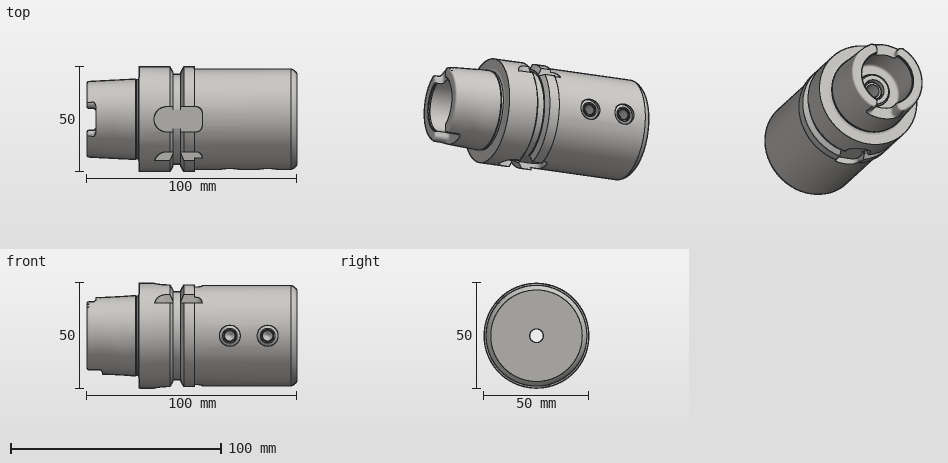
import cadquery as cq
import math

total_length = 100
relief_start = 23
flange_face = 24.8
groove_start = 39.5
groove_floor_start = 41
groove_floor_end = 44.6
groove_end = 46.1
flange_end = 51.1
nose_start = 97
nose_break = 99.4

taper_tip_radius = 18
taper_base_radius = 19.2
relief_radius = 37.9 / 2
relief_step = 0.5
relief_cone_length = 0.4
relief_cone_radius = 20.2
flange_radius = 50 / 2
groove_radius = 43 / 2
groove_flank_angle = 30
body_radius = 48 / 2
nose_mid_point = (98.4, 23.4)
nose_break_radius = 22.5
nose_end_radius = 21.8

bore_mouth_radius = 26.6 / 2
bore_mouth_length = 0.6
bore_mouth_bevel = 0.5
bore_radius = 26 / 2
bore_straight_end = 10
bore_floor_radius = 13.1
bore_depth = 18.5
bore_corner_radius = 1.2

insert_radius = 16 / 2
insert_height = 1.5
insert_chamfer = 0.7
rim_hole_radius = 10 / 2
rim_hole_depth = 3
tip_radius = 8.4 / 2
tip_length = 1.2
coolant_radius = 6.4 / 2

upper_slot_depth = 4.3
lower_slot_depth = 7.3
slot_half_width = 5.2
slot_straight_height = 14
slot_flare_radius = 2.2
slot_corner_radius = 1.5
shank_edge_radius = 1

keyway_start = 31.9
keyway_end = 54.9
keyway_width = 12
keyway_floor = 21
keyway_end_corner = 3
notch_floor = 15.5

screw_positions = (68, 86)
screw_hole_radius = 10 / 2
screw_face_radius = 7 / 2
screw_face_depth = 1
screw_bevel_angle = 30
socket_mouth_radius = 5.8 / 2
socket_radius = 5 / 2
socket_depth = 8
socket_tip_angle = 118


def revolve_about_x(profile):
    return profile.close().revolve(360, (0, 0, 0), (1, 0, 0))


def outer_body():
    flank_drop = (groove_floor_start - groove_start) / math.tan(math.radians(groove_flank_angle))
    flank_foot = flange_radius - flank_drop
    profile = (
        cq.Workplane("XY")
        .lineTo(0, taper_tip_radius)
        .lineTo(relief_start, taper_base_radius)
        .lineTo(relief_start + relief_step, relief_radius)
        .lineTo(flange_face - relief_cone_length, relief_radius)
        .lineTo(flange_face, relief_cone_radius)
        .lineTo(flange_face, flange_radius)
        .lineTo(groove_start, flange_radius)
        .lineTo(groove_floor_start, flank_foot)
        .lineTo(groove_floor_start, groove_radius)
        .lineTo(groove_floor_end, groove_radius)
        .lineTo(groove_floor_end, flank_foot)
        .lineTo(groove_end, flange_radius)
        .lineTo(flange_end, flange_radius)
        .lineTo(flange_end, body_radius)
        .lineTo(nose_start, body_radius)
        .threePointArc(nose_mid_point, (nose_break, nose_break_radius))
        .lineTo(total_length, nose_end_radius)
        .lineTo(total_length, 0)
    )
    return revolve_about_x(profile)


def clamping_bore():
    insert_face = bore_depth - insert_height
    rim_hole_floor = insert_face + rim_hole_depth
    profile = (
        cq.Workplane("XY")
        .lineTo(0, bore_mouth_radius)
        .lineTo(bore_mouth_length, bore_mouth_radius)
        .lineTo(bore_mouth_length + bore_mouth_bevel, bore_radius)
        .lineTo(bore_straight_end, bore_radius)
        .lineTo(bore_depth - bore_corner_radius, bore_floor_radius)
        .radiusArc((bore_depth, bore_floor_radius - bore_corner_radius), bore_corner_radius)
        .lineTo(bore_depth, insert_radius)
        .lineTo(insert_face + insert_chamfer, insert_radius)
        .lineTo(insert_face, insert_radius - insert_chamfer)
        .lineTo(insert_face, rim_hole_radius)
        .lineTo(rim_hole_floor, rim_hole_radius)
        .lineTo(rim_hole_floor - tip_length, tip_radius)
        .lineTo(rim_hole_floor - tip_length, coolant_radius)
        .lineTo(total_length, coolant_radius)
        .lineTo(total_length, 0)
    )
    return revolve_about_x(profile)


def drive_slot(depth, side):
    """Slot cutter open at the shank face; side is +1 for +Z and -1 for -Z."""
    flare_y = slot_half_width + slot_flare_radius
    flare_z = slot_straight_height + slot_flare_radius
    mid_y = flare_y - slot_flare_radius * math.cos(math.pi / 4)
    mid_z = slot_straight_height + slot_flare_radius * math.sin(math.pi / 4)
    cutter = (
        cq.Workplane("YZ")
        .moveTo(-slot_half_width, 0)
        .lineTo(slot_half_width, 0)
        .lineTo(slot_half_width, side * slot_straight_height)
        .threePointArc((mid_y, side * mid_z), (flare_y, side * flare_z))
        .lineTo(flange_radius, side * flare_z)
        .lineTo(flange_radius, side * flange_radius)
        .lineTo(-flange_radius, side * flange_radius)
        .lineTo(-flange_radius, side * flare_z)
        .lineTo(-flare_y, side * flare_z)
        .threePointArc((-mid_y, side * mid_z), (-slot_half_width, side * slot_straight_height))
        .close()
        .extrude(depth)
    )
    return cutter.faces(">X").edges().fillet(slot_corner_radius)


def keyway(shift):
    """Flat-bottomed keyway cutter along X, opening outward along +Z, moved by shift."""
    radius = keyway_width / 2
    arc_centre = keyway_start + radius
    return (
        cq.Workplane("XY")
        .moveTo(arc_centre, -radius)
        .lineTo(keyway_end, -radius)
        .lineTo(keyway_end, radius)
        .lineTo(arc_centre, radius)
        .threePointArc((keyway_start, 0), (arc_centre, -radius))
        .close()
        .extrude(flange_radius)
        .edges("|Z and >X")
        .fillet(keyway_end_corner)
        .translate(shift)
    )


def screw_recess(x):
    """Hole on the -Y side that leaves the chamfered end of a set screw with its socket."""
    face_y = screw_face_depth - body_radius
    bevel_depth = (screw_hole_radius - screw_face_radius) * math.tan(math.radians(screw_bevel_angle))
    socket_chamfer = socket_mouth_radius - socket_radius
    socket_floor = face_y + socket_depth
    socket_tip_length = socket_radius / math.tan(math.radians(socket_tip_angle / 2))
    profile = (
        cq.Workplane("XY")
        .moveTo(0, -flange_radius)
        .lineTo(screw_hole_radius, -flange_radius)
        .lineTo(screw_hole_radius, face_y + bevel_depth)
        .lineTo(screw_face_radius, face_y)
        .lineTo(socket_mouth_radius, face_y)
        .lineTo(socket_radius, face_y + socket_chamfer)
        .lineTo(socket_radius, socket_floor)
        .lineTo(0, socket_floor + socket_tip_length)
        .close()
    )
    return profile.revolve(360, (0, 0, 0), (0, 1, 0)).translate((x, 0, 0))


result = outer_body()
result = result.cut(drive_slot(upper_slot_depth, 1))
result = result.cut(drive_slot(lower_slot_depth, -1))
result = result.faces("<X").edges().fillet(shank_edge_radius)
result = result.cut(clamping_bore())

result = result.cut(keyway((0, 0, keyway_floor)))
result = result.cut(keyway((0, 0, -keyway_floor - flange_radius)))
result = result.cut(keyway((0, -notch_floor - keyway_width / 2, notch_floor)))

for screw_x in screw_positions:
    result = result.cut(screw_recess(screw_x))